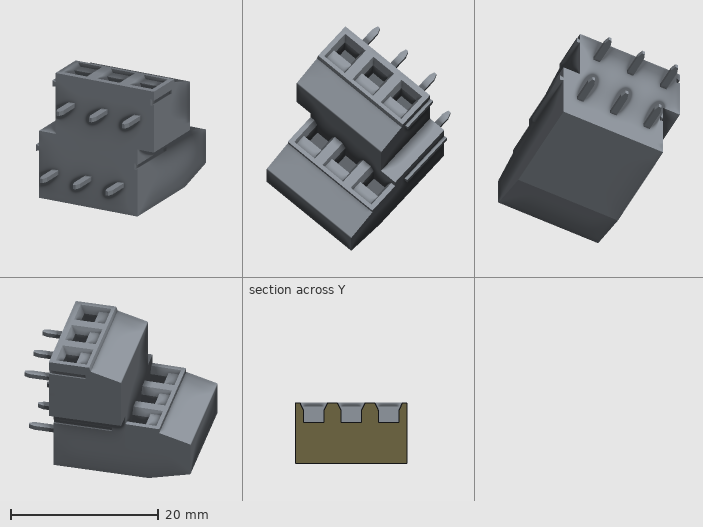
import cadquery as cq
import math

PITCH = 5.08
POLES = 3
TIER_WIDTH = PITCH * POLES
TIER_SHIFT = PITCH / 2
TIER_SPLIT_Z = 9.7
TOTAL_HEIGHT = 18.5
LOWER_DEPTH = 19.2
UPPER_DEPTH = 10.1

SLOPE = math.tan(math.radians(15))
NOSE_RADIUS = 0.2
LIP_HEIGHT = 0.62
UPPER_LIP_TOP_Y = 5.63
UPPER_LIP_FOOT_Y = 5.87
LOWER_LIP_Y = 14.8
LOWER_RIM_Z = 8.32
LOWER_RIM_TILT = 1.0
BOTTOM_CHAMFER_Y = 13.3

POCKET_WIDTH = 3.7
POCKET_SIDE_TAPER = 0.5
FUNNEL_DEPTH = 1.05
WELL_DEPTH = 4.0
CLAMP_LENGTH = 1.65
CLAMP_DROP = 0.56
LOWER_POCKET_BACK_Y = 14.24
UPPER_POCKET_BACK_Y = 5.14
UPPER_POCKET_FRONT_Y = 0.84
UPPER_FRONT_TAPER = 0.64

PIN_WIDTH = 0.95
PIN_THICKNESS = 0.62
PIN_LENGTH = 4.0
PIN_TIP_WIDTH = 0.4
PIN_TIP_LENGTH = 0.8
LOWER_PIN_Z = 4.19
PIN_ROW_SPACING = 2 * PITCH

DOVETAIL_HEIGHT = 0.5
DOVETAIL_ROOT = 0.6
DOVETAIL_CROWN = 0.94
LOWER_DOVETAIL_Z = 7.16
UPPER_DOVETAIL_Z = 16.88
LOWER_DOVETAIL_LENGTH = 8.17
UPPER_DOVETAIL_LENGTH = 5.13


def side_extrusion(points, x_start, width):
    """Extrude an outline given in (Y, Z) along +X."""
    return cq.Workplane("YZ", origin=(x_start, 0, 0)).polyline(points).close().extrude(width)


def lower_tier():
    rim_drop = (LOWER_LIP_Y - UPPER_DEPTH) * math.tan(math.radians(LOWER_RIM_TILT))
    lip_top_z = LOWER_RIM_Z - rim_drop
    lip_foot_z = lip_top_z - LIP_HEIGHT
    nose_top_z = lip_foot_z - (LOWER_DEPTH - LOWER_LIP_Y) * SLOPE
    nose_bottom_z = (LOWER_DEPTH - BOTTOM_CHAMFER_Y) * SLOPE
    outline = [
        (0, 0),
        (BOTTOM_CHAMFER_Y, 0),
        (LOWER_DEPTH, nose_bottom_z),
        (LOWER_DEPTH, nose_top_z),
        (LOWER_LIP_Y, lip_foot_z),
        (LOWER_LIP_Y, lip_top_z),
        (UPPER_DEPTH, LOWER_RIM_Z),
        (UPPER_DEPTH, TIER_SPLIT_Z),
        (0, TIER_SPLIT_Z),
    ]
    tier = side_extrusion(outline, 0, TIER_WIDTH)
    return tier.faces(">Y").edges("|X").fillet(NOSE_RADIUS)


def upper_tier():
    lip_foot_z = TOTAL_HEIGHT - LIP_HEIGHT
    nose_z = lip_foot_z - (UPPER_DEPTH - UPPER_LIP_FOOT_Y) * SLOPE
    outline = [
        (0, TIER_SPLIT_Z),
        (UPPER_DEPTH, TIER_SPLIT_Z),
        (UPPER_DEPTH, nose_z),
        (UPPER_LIP_FOOT_Y, lip_foot_z),
        (UPPER_LIP_TOP_Y, TOTAL_HEIGHT),
        (0, TOTAL_HEIGHT),
    ]
    tier = side_extrusion(outline, TIER_SHIFT, TIER_WIDTH)
    return tier.faces(">Y").edges("|X and >Z").fillet(NOSE_RADIUS)


def pocket(x_center, y_front, y_back, front_taper):
    """Pocket cutter for a level rim at Z = 0."""
    half = POCKET_WIDTH / 2
    well_half = half - POCKET_SIDE_TAPER
    well_front = y_front + front_taper
    funnel = (
        cq.Workplane("XY")
        .polyline([(-half, y_front), (half, y_front), (half, y_back), (-half, y_back)])
        .close()
        .workplane(offset=-FUNNEL_DEPTH)
        .polyline([
            (-well_half, well_front),
            (well_half, well_front),
            (well_half, y_back),
            (-well_half, y_back),
        ])
        .close()
        .loft(ruled=True)
    )
    well_length = y_back - well_front
    well = cq.Workplane("XY").box(2 * well_half, well_length, WELL_DEPTH, centered=(True, False, False))
    well = well.translate((0, well_front, -WELL_DEPTH))
    clamp = cq.Workplane("XY").box(POCKET_WIDTH, CLAMP_LENGTH, WELL_DEPTH, centered=(True, False, False))
    clamp = clamp.translate((0, y_back - CLAMP_LENGTH, -CLAMP_DROP - WELL_DEPTH))
    return funnel.union(well).cut(clamp).translate((x_center, 0, 0))


def pin(x_center, z_center):
    half = PIN_WIDTH / 2
    tip_half = PIN_TIP_WIDTH / 2
    shoulder_y = PIN_TIP_LENGTH - PIN_LENGTH
    outline = [
        (-half, 0),
        (-half, shoulder_y),
        (-tip_half, -PIN_LENGTH),
        (tip_half, -PIN_LENGTH),
        (half, shoulder_y),
        (half, 0),
    ]
    base = cq.Workplane("XY", origin=(x_center, 0, z_center - PIN_THICKNESS / 2))
    return base.polyline(outline).close().extrude(PIN_THICKNESS)


def dovetail(x_root, z_center, length):
    """Dovetail bar widening towards -X from its root, running back from Y = 0."""
    outline = [
        (x_root, z_center - DOVETAIL_ROOT / 2),
        (x_root, z_center + DOVETAIL_ROOT / 2),
        (x_root - DOVETAIL_HEIGHT, z_center + DOVETAIL_CROWN / 2),
        (x_root - DOVETAIL_HEIGHT, z_center - DOVETAIL_CROWN / 2),
    ]
    return cq.Workplane("XZ").polyline(outline).close().extrude(-length)


def lower_pocket(x_center):
    """Pocket square to the tilted lower rim; its front wall is flush with the upper tier."""
    cutter = pocket(x_center, y_front=0, y_back=LOWER_POCKET_BACK_Y - UPPER_DEPTH, front_taper=0)
    cutter = cutter.rotate((0, 0, 0), (1, 0, 0), -LOWER_RIM_TILT)
    return cutter.translate((0, UPPER_DEPTH, LOWER_RIM_Z))


def upper_pocket(x_center):
    cutter = pocket(x_center, UPPER_POCKET_FRONT_Y, UPPER_POCKET_BACK_Y, UPPER_FRONT_TAPER)
    return cutter.translate((0, 0, TOTAL_HEIGHT))


def add_dovetails(body, left_x, z_center, length):
    """Rib on the left side of a tier and the matching groove on its right side."""
    rib = dovetail(left_x, z_center, length)
    groove = dovetail(left_x + TIER_WIDTH, z_center, length)
    return body.union(rib).cut(groove)


result = lower_tier().union(upper_tier())
result = add_dovetails(result, 0, LOWER_DOVETAIL_Z, LOWER_DOVETAIL_LENGTH)
result = add_dovetails(result, TIER_SHIFT, UPPER_DOVETAIL_Z, UPPER_DOVETAIL_LENGTH)

for pole in range(POLES):
    lower_x = (pole + 0.5) * PITCH
    upper_x = lower_x + TIER_SHIFT
    result = result.cut(lower_pocket(lower_x)).cut(upper_pocket(upper_x))
    result = result.union(pin(lower_x, LOWER_PIN_Z))
    result = result.union(pin(upper_x, LOWER_PIN_Z + PIN_ROW_SPACING))